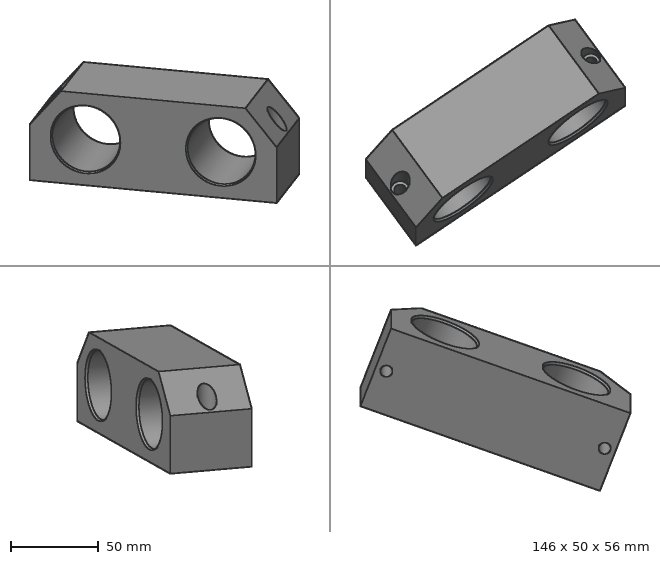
import cadquery as cq
import math

length = 146.0
width = 50.0
height = 56.0
shoulder_drop = 22.0
shoulder_angle = 40.0
shoulder_run = shoulder_drop * math.tan(math.radians(shoulder_angle))

bore_diameter = 40.0
bore_spacing = 80.0
bore_height = height / 2
mouth_widening = 0.7
mouth_depth = 1.5

bolt_spacing = 133.0
bolt_hole_diameter = 6.9
counterbore_diameter = 11.0
counterbore_floor = height / 2


def make_block():
    """Block with both upper ends cut off at a slope, centred on X and Y."""
    half_length = length / 2
    half_top = half_length - shoulder_run
    shoulder_height = height - shoulder_drop
    outline = [
        (-half_length, 0),
        (half_length, 0),
        (half_length, shoulder_height),
        (half_top, height),
        (-half_top, height),
        (-half_length, shoulder_height),
    ]
    return cq.Workplane("XZ").polyline(outline).close().extrude(width / 2, both=True)


def make_bore(x):
    """Cutter for a through bore with both mouths chamfered."""
    bore_radius = bore_diameter / 2
    mouth_radius = bore_radius + mouth_widening
    half_width = width / 2
    profile = [
        (0, -half_width),
        (mouth_radius, -half_width),
        (bore_radius, -half_width + mouth_depth),
        (bore_radius, half_width - mouth_depth),
        (mouth_radius, half_width),
        (0, half_width),
    ]
    cutter = cq.Workplane("XY").polyline(profile).close().revolve(360, (0, 0), (0, 1))
    return cutter.translate((x, 0, bore_height))


def make_bolt_hole(x):
    """Cutter for a through hole with a counterbore open to the sloped shoulder."""
    hole = cq.Workplane("XY").center(x, 0).circle(bolt_hole_diameter / 2).extrude(height)
    counterbore = (
        cq.Workplane("XY", origin=(x, 0, counterbore_floor))
        .circle(counterbore_diameter / 2)
        .extrude(height - counterbore_floor)
    )
    return hole.union(counterbore)


result = make_block()
for side in (-1, 1):
    result = result.cut(make_bore(side * bore_spacing / 2))
    result = result.cut(make_bolt_hole(side * bolt_spacing / 2))